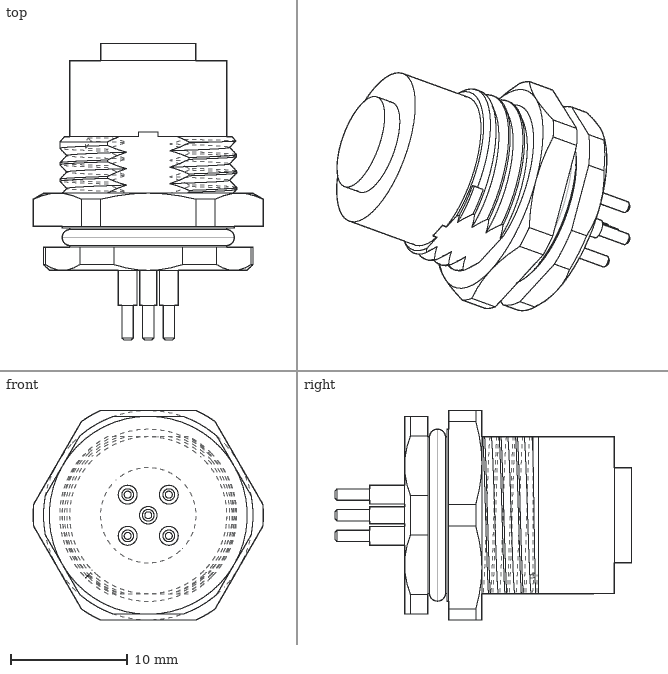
import cadquery as cq
import math


rear_hex_front_y = 2.0
o_ring_y = 2.82
collar_rear_y = 3.63
nut_rear_y = 3.78
nut_front_y = 6.63
thread_front_y = 11.48
barrel_front_y = 18.0
boss_front_y = 19.5

barrel_radius = 6.75
boss_radius = 4.1

thread_radius = 7.6
thread_root_radius = 7.0
thread_pitch = 1.411
thread_groove_width = 1.25
thread_flat_height = barrel_radius
thread_chamfer_length = 0.45
thread_chamfer_depth = 0.4
groove_start_y = 11.09
groove_start_angle = -135.0
groove_end_y = nut_front_y - thread_pitch
key_width = 1.65
key_length = 0.4

nut_across_flats = 18.0
nut_corner_radius = 9.895
nut_chamfer_length = 0.52
rear_hex_across_flats = 17.0
rear_hex_corner_radius = 9.0
rear_hex_chamfer_length = 0.5

collar_radius = 7.4
o_ring_section_radius = 0.7
o_ring_outer_radius = 7.4

pin_circle_radius = 2.5
outer_sleeve_radius = 0.81
center_sleeve_radius = 0.75
sleeve_length = 3.0
pin_radius = 0.5
pin_length = 6.0
pin_tip_chamfer = 0.2


def disc(radius, rear_y, front_y, x=0, z=0):
    """Cylinder parallel to Y between two stations."""
    length = front_y - rear_y
    base = cq.Vector(x, rear_y, z)
    axis = cq.Vector(0, 1, 0)
    return cq.Workplane(cq.Solid.makeCylinder(radius, length, base, axis))


def revolve_about_axis(profile):
    """Full revolution of a closed profile of (radius, y) points about Y."""
    return cq.Workplane("XY").polyline(profile).close().revolve(360, (0, 0, 0), (0, 1, 0))


def hexagon(across_flats, rear_y, front_y):
    """Hexagonal prism along Y with flats on top and bottom."""
    across_corners = across_flats / math.cos(math.pi / 6)
    return (
        cq.Workplane("XZ", origin=(0, front_y, 0))
        .polygon(6, across_corners)
        .extrude(front_y - rear_y)
    )


def make_nut():
    """Nut with turned corners and a chamfered front face."""
    envelope = revolve_about_axis([
        (0, nut_rear_y),
        (nut_corner_radius, nut_rear_y),
        (nut_corner_radius, nut_front_y - nut_chamfer_length),
        (nut_across_flats / 2, nut_front_y),
        (0, nut_front_y),
    ])
    return hexagon(nut_across_flats, nut_rear_y, nut_front_y).intersect(envelope)


def make_rear_hex():
    """Rear hexagon with turned corners and a chamfered rear face."""
    envelope = revolve_about_axis([
        (0, 0),
        (rear_hex_across_flats / 2, 0),
        (rear_hex_corner_radius, rear_hex_chamfer_length),
        (rear_hex_corner_radius, rear_hex_front_y),
        (0, rear_hex_front_y),
    ])
    return hexagon(rear_hex_across_flats, 0, rear_hex_front_y).intersect(envelope)


def make_thread_groove():
    """Right-handed helical V groove that runs from the thread front towards the nut."""
    overlap = 0.2
    outer_radius = thread_radius + overlap
    slope = thread_groove_width / 2 / (thread_radius - thread_root_radius)
    half_width = slope * (outer_radius - thread_root_radius)
    helix = cq.Wire.makeHelix(thread_pitch, groove_start_y - groove_end_y, thread_root_radius)
    groove = (
        cq.Workplane("XZ")
        .polyline([(thread_root_radius, 0), (outer_radius, -half_width), (outer_radius, half_width)])
        .close()
        .sweep(cq.Workplane(helix), isFrenet=True)
    )
    return (
        groove.rotate((0, 0, 0), (0, 0, 1), groove_start_angle)
        .rotate((0, 0, 0), (1, 0, 0), 90)
        .translate((0, groove_start_y, 0))
    )


def make_thread():
    """Threaded length, flattened on top and bottom, with a key at the front of each flat."""
    blank = revolve_about_axis([
        (0, nut_rear_y),
        (thread_radius, nut_rear_y),
        (thread_radius, thread_front_y - thread_chamfer_length),
        (thread_radius - thread_chamfer_depth, thread_front_y),
        (0, thread_front_y),
    ])
    thread = blank.cut(make_thread_groove())
    slab_length = thread_front_y - nut_rear_y
    slab = (
        cq.Workplane("XY")
        .box(2 * thread_radius, slab_length, 2 * thread_flat_height)
        .translate((0, nut_rear_y + slab_length / 2, 0))
    )
    keys = (
        cq.Workplane("XY")
        .box(key_width, key_length, 2 * thread_flat_height)
        .translate((0, thread_front_y + key_length / 2, 0))
    )
    return thread.intersect(slab).union(keys)


def make_o_ring():
    """O-ring seated on the neck between the two hexagons."""
    center_radius = o_ring_outer_radius - o_ring_section_radius
    center = cq.Vector(0, o_ring_y, 0)
    axis = cq.Vector(0, 1, 0)
    return cq.Workplane(cq.Solid.makeTorus(center_radius, o_ring_section_radius, center, axis))


def make_pin(x, z, sleeve_radius):
    """Stepped contact pin with a chamfered tip, projecting to the rear."""
    tip = disc(pin_radius, -pin_length, 0, x, z).faces("<Y").chamfer(pin_tip_chamfer)
    return disc(sleeve_radius, -sleeve_length, 0, x, z).union(tip)


def make_pins():
    """One central pin and four pins spaced evenly on the pin circle."""
    pins = [make_pin(0, 0, center_sleeve_radius)]
    offset = pin_circle_radius * math.sqrt(0.5)
    for x_side in (-1, 1):
        for z_side in (-1, 1):
            pins.append(make_pin(x_side * offset, z_side * offset, outer_sleeve_radius))
    return pins


result = disc(barrel_radius, 0, barrel_front_y)
result = result.union(disc(boss_radius, 0, boss_front_y))
result = result.union(make_thread())
result = result.union(make_nut())
result = result.union(disc(collar_radius, collar_rear_y, nut_rear_y))
result = result.union(make_rear_hex())
result = result.union(make_o_ring())
for pin in make_pins():
    result = result.union(pin)